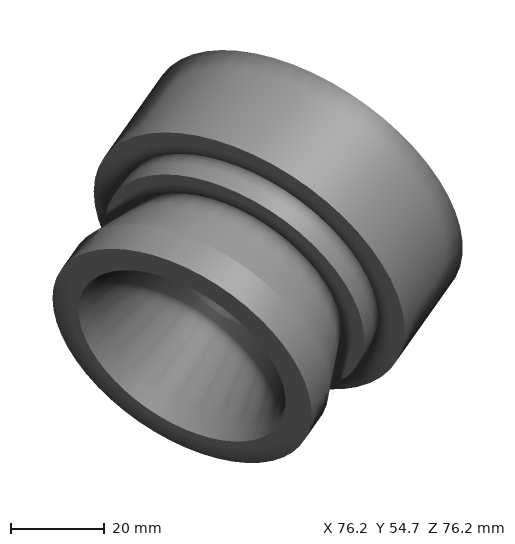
import cadquery as cq
import math

total_length = 54.7
body_diameter = 76.2
body_length = 25.4
collar_diameter = 63.5
collar_length = 6.35
rim_diameter = 63.5
rim_length = 7.6
taper_angle = 20

mouth_diameter = 50.8
bore_diameter = 33.0

taper_slope = math.tan(math.radians(taper_angle))
neck_length = total_length - body_length - collar_length - rim_length
neck_root_diameter = rim_diameter - 2 * neck_length * taper_slope
mouth_depth = (mouth_diameter - bore_diameter) / 2 / taper_slope

rim_face = 0
rim_back = rim_length
back_face = total_length
collar_front = rim_back + neck_length
body_front = collar_front + collar_length


def make_outer_form():
    """Body, collar, tapered neck and rim as one solid of revolution."""
    half_section = (
        cq.Workplane("XY")
        .moveTo(0, rim_face)
        .lineTo(-rim_diameter / 2, rim_face)
        .lineTo(-rim_diameter / 2, rim_back)
        .lineTo(-neck_root_diameter / 2, collar_front)
        .lineTo(-collar_diameter / 2, collar_front)
        .lineTo(-collar_diameter / 2, body_front)
        .lineTo(-body_diameter / 2, body_front)
        .lineTo(-body_diameter / 2, back_face)
        .lineTo(0, back_face)
        .close()
    )
    return half_section.revolve(360, (0, 0, 0), (0, 1, 0))


def make_passage():
    """Conical mouth opening at the rim, followed by the straight bore."""
    half_section = (
        cq.Workplane("XY")
        .moveTo(0, rim_face)
        .lineTo(-mouth_diameter / 2, rim_face)
        .lineTo(-bore_diameter / 2, mouth_depth)
        .lineTo(-bore_diameter / 2, back_face)
        .lineTo(0, back_face)
        .close()
    )
    return half_section.revolve(360, (0, 0, 0), (0, 1, 0))


result = make_outer_form().cut(make_passage())